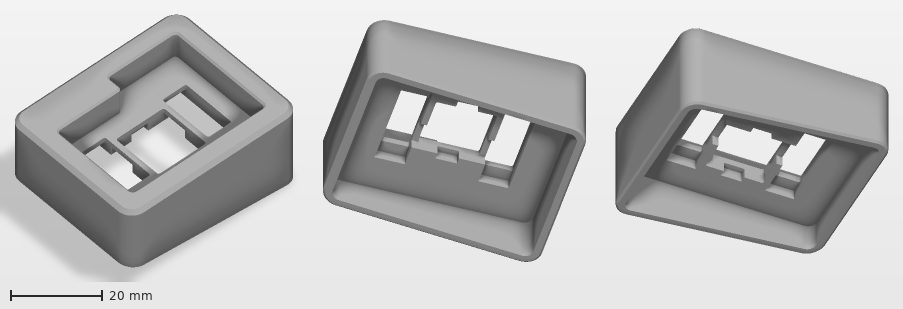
import cadquery as cq
import math

body_width = 40.6
body_length = 50.1
body_height = 23.2
corner_radius = 4.0
top_chamfer = 1.0
base_chamfer = 0.5
base_tilt = math.radians(6.0)

wall = 2.0
recess_depth = 7.5
plate_thickness = 1.5
block_thickness = 4.0

recess_border = 5.5
recess_step_width = 4.75
recess_step_y = -0.45
recess_radius = 1.0
rim_chamfer = 0.5

switch_size = 14.1
switch_x = 2.35
clip_width = 5.0
clip_depth = 1.5

stabilizer_width = 15.1
stabilizer_length = 6.95
stabilizer_x = 0.8
stabilizer_spacing = 11.9
stabilizer_undercut = 3.0
opening_radius = 0.5

channel_width = switch_size / 2
channel_x = switch_x - channel_width / 2
channel_length = 2 * stabilizer_spacing

plate_top = body_height - recess_depth
block_bottom = plate_top - block_thickness
undercut_height = block_thickness - plate_thickness


def upright_box(width, length, height, x, y, bottom):
    """Box centred at (x, y) that stands on the height `bottom`."""
    return cq.Workplane("XY", origin=(x, y, bottom)).rect(width, length).extrude(height)


def opening(width, length, x, y):
    """Opening with rounded corners through the plate and the block."""
    box = upright_box(width, length, block_thickness, x, y, block_bottom)
    return box.edges("|Z").fillet(opening_radius)


def undercut(width, length, x, y):
    """Square-cornered space in the block that leaves the plate above it whole."""
    return upright_box(width, length, undercut_height, x, y, block_bottom)


def make_outer_body():
    """Rounded block with a sloping underside and chamfered top and bottom rims."""
    half_length = body_length / 2
    rear_z = -base_chamfer * math.sin(base_tilt)
    front_z = rear_z + body_length * math.tan(base_tilt)
    side_profile = [
        (-half_length, front_z),
        (half_length, rear_z),
        (half_length, body_height),
        (-half_length, body_height),
    ]
    body = cq.Workplane("YZ").polyline(side_profile).close().extrude(body_width / 2, both=True)
    body = body.edges("|Z").fillet(corner_radius)
    body = body.faces(">Z").chamfer(top_chamfer)
    return body.faces("<Z").chamfer(base_chamfer)


def cut_recess(body):
    """Sink the stepped recess into the top and chamfer its rim."""
    half_width = body_width / 2 - recess_border
    half_length = body_length / 2 - recess_border
    step_x = -half_width + recess_step_width
    outline = [
        (-half_width, half_length),
        (half_width, half_length),
        (half_width, -half_length),
        (step_x, -half_length),
        (step_x, recess_step_y),
        (-half_width, recess_step_y),
    ]
    recess = cq.Workplane("XY", origin=(0, 0, plate_top)).polyline(outline).close()
    recess = recess.extrude(recess_depth).edges("|Z").fillet(recess_radius)
    body = body.cut(recess)
    rim_edges = body.faces(">Z").val().innerWires()[0].Edges()
    return body.newObject(rim_edges).chamfer(rim_chamfer)


def make_cavity():
    """Hollow that is open at the underside and ends at the block."""
    cavity = upright_box(body_width - 2 * wall, body_length - 2 * wall, block_bottom, 0, 0, 0)
    cavity = cavity.edges("|Z").fillet(corner_radius - wall)
    return cavity


def cut_switch(body):
    body = body.cut(opening(switch_size, switch_size, switch_x, 0))
    return body.cut(undercut(switch_size + 2 * clip_depth, clip_width, switch_x, 0))


def cut_stabilizer(body, y):
    undercut_width = stabilizer_width + 2 * stabilizer_undercut
    body = body.cut(opening(stabilizer_width, stabilizer_length, stabilizer_x, y))
    return body.cut(undercut(undercut_width, stabilizer_length, stabilizer_x, y))


result = cut_recess(make_outer_body())
result = result.cut(make_cavity())
result = cut_switch(result)
for stabilizer_y in (-stabilizer_spacing, stabilizer_spacing):
    result = cut_stabilizer(result, stabilizer_y)
result = result.cut(undercut(channel_width, channel_length, channel_x, 0))